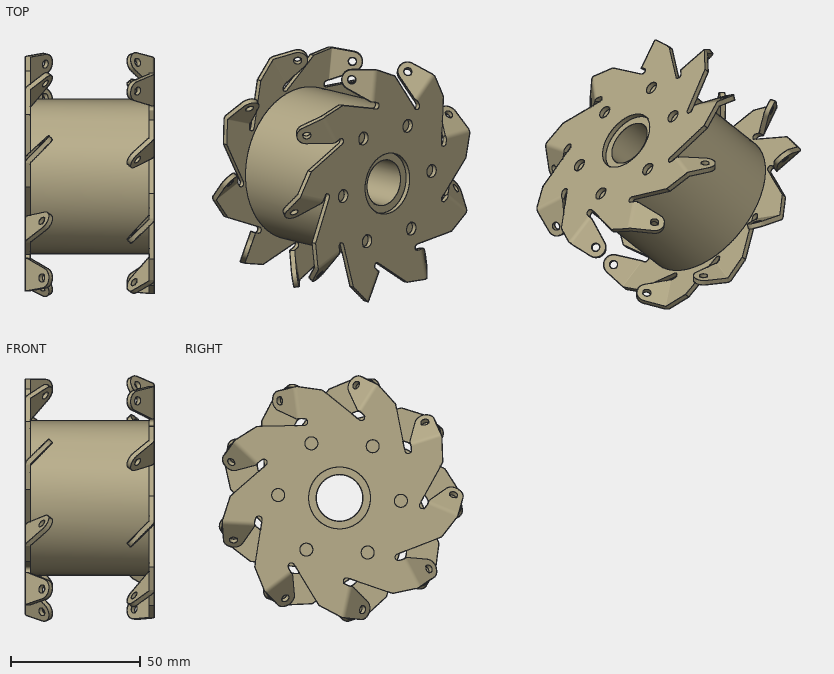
import cadquery as cq
import math


OVERALL_LENGTH = 50.0
SHEET = 2.0
HUB_LENGTH = OVERALL_LENGTH - 2 * SHEET
TILT = 2.7

HUB_DIAMETER = 60.0
BORE_DIAMETER = 18.0

CENTRE_HOLE_DIAMETER = 24.0
BOLT_COUNT = 6
BOLT_HOLE_DIAMETER = 5.0
BOLT_CIRCLE_RADIUS = 23.8

BLADE_COUNT = 9
BLADE_PITCH = 360 / BLADE_COUNT
FOLD_Y = 10.7
FOLD_INNER_X = 32.3
FOLD_OUTER_X = 44.9
BLADE_POINT = (42.3, 1.3)

SLOT_RADIUS = 1.2
SLOT_CENTRE = (30.8, 9.7)

BEND_ANGLE = 45
BEND_INNER_RADIUS = 0.5
BEND_OUTER_RADIUS = BEND_INNER_RADIUS + SHEET
TAB_END_RADIUS = 3.9
TAB_HOLE_DIAMETER = 3.1
TAB_HOLE_X = 40.2
TAB_HOLE_REACH = 8.1


def turned(point, degrees):
    """Turn a 2D point about the origin."""
    c = math.cos(math.radians(degrees))
    s = math.sin(math.radians(degrees))
    return (point[0] * c - point[1] * s, point[0] * s + point[1] * c)


def on_circle(centre, radius, degrees):
    """The point of a circle in the given direction from its centre."""
    offset = turned((radius, 0), degrees)
    return (centre[0] + offset[0], centre[1] + offset[1])


def tangent_direction(point, centre, radius, side):
    """Direction from the centre to where a line from the point touches the circle.

    Side +1 picks the touching point anticlockwise of the point, -1 the clockwise one.
    """
    dx = point[0] - centre[0]
    dy = point[1] - centre[1]
    spread = math.acos(radius / math.hypot(dx, dy))
    return math.degrees(math.atan2(dy, dx) + side * spread)


NEXT_POINT = turned(BLADE_POINT, BLADE_PITCH)
SLOT_WALL_NORMAL = tangent_direction(NEXT_POINT, SLOT_CENTRE, SLOT_RADIUS, 1)
SLOT_END = on_circle(SLOT_CENTRE, SLOT_RADIUS, SLOT_WALL_NORMAL)
SLOT_BOTTOM = on_circle(SLOT_CENTRE, SLOT_RADIUS, SLOT_WALL_NORMAL + 90)
SLOT_START = on_circle(SLOT_CENTRE, SLOT_RADIUS, SLOT_WALL_NORMAL + 180)


def make_hub():
    """Plain cylinder with a through bore, centred on the origin."""
    return (
        cq.Workplane("YZ", origin=(-HUB_LENGTH / 2, 0, 0))
        .circle(HUB_DIAMETER / 2)
        .circle(BORE_DIAMETER / 2)
        .extrude(HUB_LENGTH)
    )


def make_flat_disc():
    """Flat part of a disc, from local Z = 0 (hub side) to Z = SHEET (outer side)."""
    outline = cq.Workplane("XY").moveTo(*BLADE_POINT)
    for blade in range(BLADE_COUNT):
        angle = blade * BLADE_PITCH
        outline = (
            outline.lineTo(*turned((FOLD_OUTER_X, FOLD_Y), angle))
            .lineTo(*turned((FOLD_INNER_X, FOLD_Y), angle))
            .lineTo(*turned(SLOT_START, angle))
            .threePointArc(turned(SLOT_BOTTOM, angle), turned(SLOT_END, angle))
        )
        if blade < BLADE_COUNT - 1:
            outline = outline.lineTo(*turned(NEXT_POINT, angle))
    disc = outline.close().extrude(SHEET)

    centre_hole = cq.Workplane("XY").circle(CENTRE_HOLE_DIAMETER / 2).extrude(SHEET)
    bolt_holes = (
        cq.Workplane("XY")
        .polarArray(BOLT_CIRCLE_RADIUS, 0, 360, BOLT_COUNT)
        .circle(BOLT_HOLE_DIAMETER / 2)
        .extrude(SHEET)
    )
    return disc.cut(centre_hole).cut(bolt_holes)


def make_bend():
    """Curved strip that joins a blade to its tab."""
    centre = (FOLD_Y, SHEET - BEND_OUTER_RADIUS)
    start = 90
    middle = start - BEND_ANGLE / 2
    end = start - BEND_ANGLE
    return (
        cq.Workplane("YZ", origin=(FOLD_INNER_X, 0, 0))
        .moveTo(*on_circle(centre, BEND_INNER_RADIUS, start))
        .lineTo(*on_circle(centre, BEND_OUTER_RADIUS, start))
        .threePointArc(
            on_circle(centre, BEND_OUTER_RADIUS, middle),
            on_circle(centre, BEND_OUTER_RADIUS, end),
        )
        .lineTo(*on_circle(centre, BEND_INNER_RADIUS, end))
        .threePointArc(
            on_circle(centre, BEND_INNER_RADIUS, middle),
            on_circle(centre, BEND_INNER_RADIUS, start),
        )
        .close()
        .extrude(FOLD_OUTER_X - FOLD_INNER_X)
    )


def make_tab():
    """Flat drilled tab beyond the bend, with a round end."""
    hole = (TAB_HOLE_X, TAB_HOLE_REACH)
    inner_root = (FOLD_INNER_X, 0)
    outer_root = (FOLD_OUTER_X, 0)
    outer_touch = tangent_direction(outer_root, hole, TAB_END_RADIUS, 1)
    inner_touch = tangent_direction(inner_root, hole, TAB_END_RADIUS, -1)

    bend_centre = (FOLD_Y, SHEET - BEND_OUTER_RADIUS)
    bend_end = on_circle(bend_centre, BEND_OUTER_RADIUS, 90 - BEND_ANGLE)
    normal = on_circle((0, 0), 1, 90 - BEND_ANGLE)
    outer_face = cq.Plane(origin=(0, *bend_end), xDir=(1, 0, 0), normal=(0, *normal))
    return (
        cq.Workplane(outer_face)
        .moveTo(*inner_root)
        .lineTo(*outer_root)
        .lineTo(*on_circle(hole, TAB_END_RADIUS, outer_touch))
        .threePointArc(
            on_circle(hole, TAB_END_RADIUS, 90),
            on_circle(hole, TAB_END_RADIUS, inner_touch),
        )
        .close()
        .moveTo(*hole)
        .circle(TAB_HOLE_DIAMETER / 2)
        .extrude(-SHEET)
    )


def make_disc():
    """Disc with all its folded tabs, lying on local Z = 0 with a bolt hole on local X."""
    disc = make_flat_disc()
    folded_tab = make_bend().union(make_tab())
    for blade in range(BLADE_COUNT):
        disc = disc.union(folded_tab.rotate((0, 0, 0), (0, 0, 1), blade * BLADE_PITCH))
    return disc


def place_discs(disc):
    """One disc on the -X end of the hub, and the same disc turned over on the +X end."""
    left_end = cq.Plane(origin=(-HUB_LENGTH / 2, 0, 0), xDir=(0, -1, 0), normal=(-1, 0, 0))
    left_disc = disc.val().moved(cq.Location(left_end))
    return [left_disc.rotate((0, 0, 0), (0, 1, 0), turn) for turn in (0, 180)]


hub = make_hub()
discs = place_discs(make_disc())

bodies = [hub.val(), *discs]
result = cq.Compound.makeCompound(
    [body.rotate((0, 0, 0), (1, 0, 0), -TILT) for body in bodies]
)